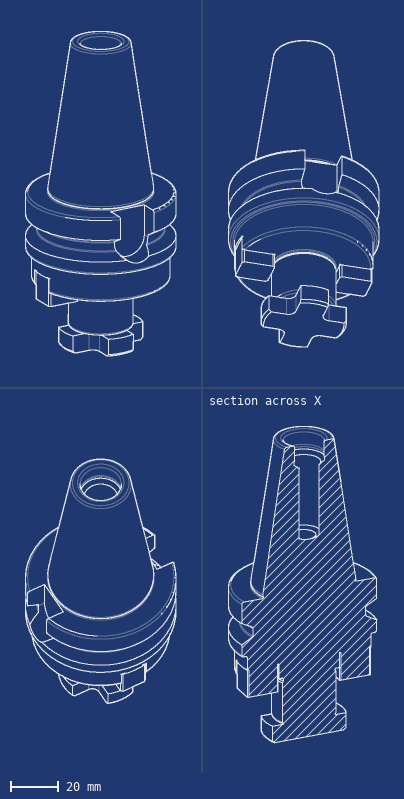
import cadquery as cq
import math

total_height = 134.4

gauge_radius = 22.2
gauge_height = 69.0
taper_per_length = 7 / 48
tip_radius = gauge_radius - taper_per_length * (total_height - gauge_height)
tip_round = 1.0
collar_bottom = 68.0
collar_relief = 0.3
collar_fillet = 0.4
collar_neck_radius = gauge_radius - collar_relief

flange_diameter = 63.0
flange_radius = flange_diameter / 2
flange_top = 67.2
flange_bottom = 42.0
flange_round = 1.0
groove_fillet = 0.5
groove_radius = 26.6
upper_rim_bottom = 57.4
groove_floor_top = 54.7
groove_floor_bottom = 50.5
lower_rim_top = 47.7

body_radius = 29.0
body_bottom = 28.9
body_fillet = 0.7
body_round = 1.1

spigot_radius = 13.6
spigot_bottom = 7.9
spigot_round = 1.0
neck_radius = 13.2
neck_fillet = 0.4
neck_cone_top = 27.7
neck_cone_bottom = 26.9

drive_slot_width = 16.1
drive_slot_bottom = 45.8
drive_slot_floor = 22.5

key_width = 12.0
key_inner = 14.1
key_outer = 28.2
key_top = 35.6
key_bottom = 23.0
key_chamfer = 0.8

head_radius = 17.9
head_chamfer = 1.1
arm_width = 12.0
arm_corner_radius = 3.2
arm_height = spigot_bottom

bore_radius = 8.6
bore_depth = 6.7
bore_mouth_round = 1.1
undercut_radius = 8.9
undercut_start = 7.9
undercut_end = 9.0
thread_radius = 7.1
thread_lead_slope = 45
thread_lead_rise = (undercut_radius - thread_radius) * math.tan(math.radians(thread_lead_slope))
thread_start = undercut_end + thread_lead_rise
thread_end = 43.0
floor_radius = 5.1
drill_cone_slope = 30
drill_cone_rise = (thread_radius - floor_radius) * math.tan(math.radians(drill_cone_slope))
floor_depth = thread_end + drill_cone_rise


def rim_edges(solid, radius, height):
    """Select the circular edge of the given radius at the given height."""
    margin = 0.07
    reach = radius + margin
    lower_corner = (-reach, -reach, height - margin)
    upper_corner = (reach, reach, height + margin)
    within_reach = cq.selectors.BoxSelector(lower_corner, upper_corner, boundingbox=True)
    largest = cq.selectors.RadiusNthSelector(-1)
    return solid.edges(within_reach).edges(largest)


def make_turned_body():
    outline = (
        cq.Workplane("XZ")
        .moveTo(0, spigot_bottom)
        .lineTo(spigot_radius, spigot_bottom)
        .lineTo(spigot_radius, neck_cone_bottom)
        .lineTo(neck_radius, neck_cone_top)
        .lineTo(neck_radius, body_bottom)
        .lineTo(body_radius, body_bottom)
        .lineTo(body_radius, flange_bottom)
        .lineTo(flange_radius, flange_bottom)
        .lineTo(flange_radius, lower_rim_top)
        .lineTo(groove_radius, groove_floor_bottom)
        .lineTo(groove_radius, groove_floor_top)
        .lineTo(flange_radius, upper_rim_bottom)
        .lineTo(flange_radius, flange_top)
        .lineTo(collar_neck_radius, flange_top)
        .lineTo(collar_neck_radius, collar_bottom - collar_relief)
        .lineTo(gauge_radius, collar_bottom)
        .lineTo(gauge_radius, gauge_height)
        .lineTo(tip_radius, total_height)
        .lineTo(bore_radius, total_height)
        .lineTo(bore_radius, total_height - bore_depth)
        .lineTo(undercut_radius, total_height - undercut_start)
        .lineTo(undercut_radius, total_height - undercut_end)
        .lineTo(thread_radius, total_height - thread_start)
        .lineTo(thread_radius, total_height - thread_end)
        .lineTo(floor_radius, total_height - floor_depth)
        .lineTo(0, total_height - floor_depth)
    )
    return outline.close().revolve(360, (0, 0, 0), (0, 1, 0))


def round_rims(solid):
    """Round the sharp circular edges and corners of the turned body."""
    rims = (
        (spigot_radius, spigot_bottom, spigot_round),
        (neck_radius, body_bottom, neck_fillet),
        (body_radius, body_bottom, body_round),
        (body_radius, flange_bottom, body_fillet),
        (flange_radius, flange_bottom, flange_round),
        (groove_radius, groove_floor_bottom, groove_fillet),
        (groove_radius, groove_floor_top, groove_fillet),
        (flange_radius, flange_top, flange_round),
        (collar_neck_radius, flange_top, collar_fillet),
        (tip_radius, total_height, tip_round),
        (bore_radius, total_height, bore_mouth_round),
    )
    for radius, height, rounding in rims:
        solid = rim_edges(solid, radius, height).fillet(rounding)
    return solid


def make_drive_slot():
    """Round-bottomed slot on the +X side, open at the flange top."""
    half_width = drive_slot_width / 2
    arc_center = drive_slot_bottom + half_width
    return (
        cq.Workplane("YZ", origin=(drive_slot_floor, 0, 0))
        .moveTo(-half_width, flange_top)
        .lineTo(-half_width, arc_center)
        .threePointArc((0, drive_slot_bottom), (half_width, arc_center))
        .lineTo(half_width, flange_top)
        .close()
        .extrude(flange_radius - drive_slot_floor)
    )


def make_block_y(inner, outer, bottom, top):
    """Key-wide block on the +Y side between two distances from the axis."""
    return (
        cq.Workplane("XY", origin=(0, (inner + outer) / 2, bottom))
        .rect(key_width, outer - inner)
        .extrude(top - bottom)
    )


def make_screw_head():
    arm_length = 2 * head_radius
    cross = (
        cq.Workplane("XY")
        .rect(arm_length, arm_width)
        .extrude(arm_height)
        .union(cq.Workplane("XY").rect(arm_width, arm_length).extrude(arm_height))
    )
    inner_corners = cq.selectors.BoxSelector(
        (-arm_width, -arm_width, 0), (arm_width, arm_width, arm_height)
    )
    cross = cross.edges("|Z").edges(inner_corners).fillet(arm_corner_radius)
    disc = cq.Workplane("XY").circle(head_radius).extrude(arm_height)
    return cross.intersect(disc.faces("<Z").chamfer(head_chamfer))


result = round_rims(make_turned_body())

drive_slot = make_drive_slot()
key_seat = make_block_y(key_inner, body_radius, body_bottom, key_top)
key = make_block_y(key_inner, key_outer, key_bottom, key_top).edges("|Z").chamfer(key_chamfer)

for angle in (0, 180):
    result = result.cut(drive_slot.rotate((0, 0, 0), (0, 0, 1), angle))
    result = result.cut(key_seat.rotate((0, 0, 0), (0, 0, 1), angle))
    result = result.union(key.rotate((0, 0, 0), (0, 0, 1), angle))

result = result.union(make_screw_head())